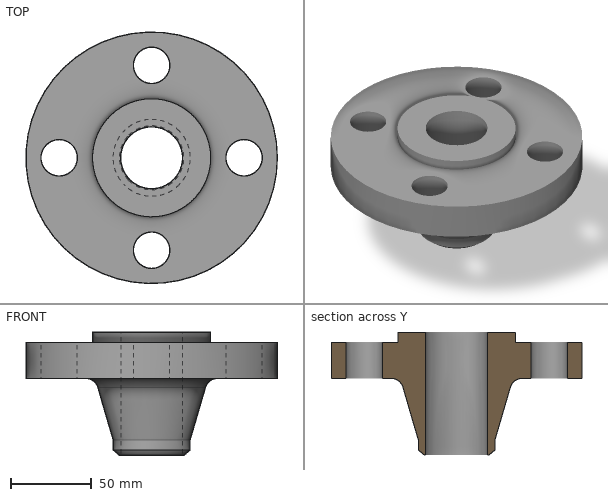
import cadquery as cq
import math

flange_diameter = 155.575
flange_thickness = 22.35
raised_face_diameter = 73.025
raised_face_height = 6.35

bolt_circle_diameter = 114.3
bolt_hole_diameter = 22.35
bolt_hole_count = 4

overall_height = 76.2
bore_diameter = 38.1
weld_end_diameter = 47.625
weld_end_length = 9.525
bevel_height = 3.3
bevel_angle = 50.0
hub_base_diameter = 69.85
hub_fillet_radius = 7.5

flange_top = overall_height - raised_face_height
flange_bottom = flange_top - flange_thickness

weld_end_radius = weld_end_diameter / 2
bevel_tip_radius = weld_end_radius - bevel_height * math.tan(math.radians(bevel_angle))


def make_disc(diameter, bottom, height):
    """Solid round disc about the Z axis, standing on the given height."""
    return cq.Workplane("XY").workplane(offset=bottom).circle(diameter / 2).extrude(height)


def make_flange():
    """Round plate with the raised face on top."""
    plate = make_disc(flange_diameter, flange_bottom, flange_thickness)
    raised_face = make_disc(raised_face_diameter, flange_top, raised_face_height)
    return plate.union(raised_face)


def make_hub():
    """Bevelled weld end, then a cone that widens up to the flange."""
    profile = [
        (0, 0),
        (bevel_tip_radius, 0),
        (weld_end_radius, bevel_height),
        (weld_end_radius, weld_end_length),
        (hub_base_diameter / 2, flange_bottom),
        (0, flange_bottom),
    ]
    return cq.Workplane("XZ").polyline(profile).close().revolve(360, (0, 0, 0), (0, 1, 0))


def fillet_hub(body):
    """Round the inner corner where the hub meets the underside of the flange."""
    underside = body.faces(cq.selectors.NearestToPointSelector((0, 0, flange_bottom)))
    hub_edge = underside.edges(cq.selectors.RadiusNthSelector(0))
    return hub_edge.fillet(hub_fillet_radius)


def cut_bore(body):
    """Straight bore through the hub and the flange."""
    return body.cut(make_disc(bore_diameter, 0, overall_height))


def cut_bolt_holes(body):
    """Through holes evenly spaced on the bolt circle, the first on the X axis."""
    bolt_holes = (
        cq.Workplane("XY")
        .workplane(offset=flange_bottom)
        .polarArray(bolt_circle_diameter / 2, 0, 360, bolt_hole_count)
        .circle(bolt_hole_diameter / 2)
        .extrude(flange_thickness)
    )
    return body.cut(bolt_holes)


body = make_flange().union(make_hub())
body = fillet_hub(body)
body = cut_bore(body)
result = cut_bolt_holes(body)